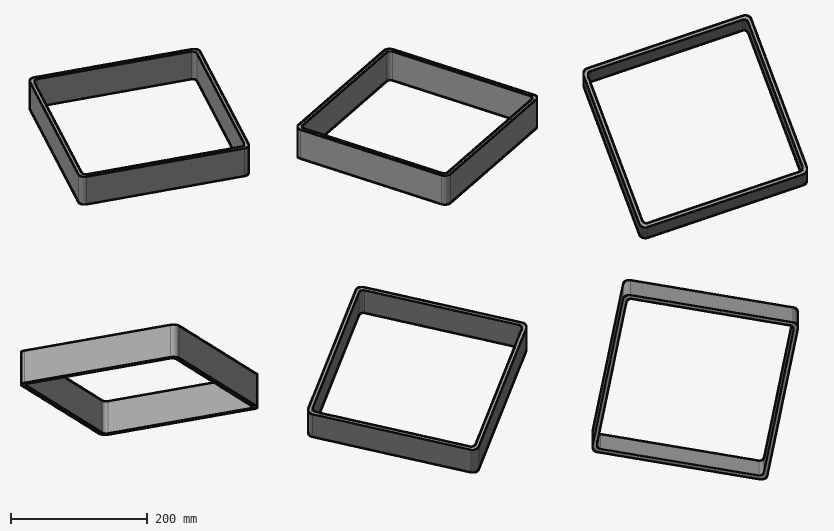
import cadquery as cq

side = 260.0
height = 50.0
wall = 6.0
outer_radius = 9.4
inner_radius = 6.5

opening = side - 2 * wall


def rounded_block(width, corner_radius):
    """Square block of the frame height with rounded vertical edges."""
    block = cq.Workplane("XY").box(width, width, height)
    return block.edges("|Z").fillet(corner_radius)


result = rounded_block(side, outer_radius).cut(rounded_block(opening, inner_radius))